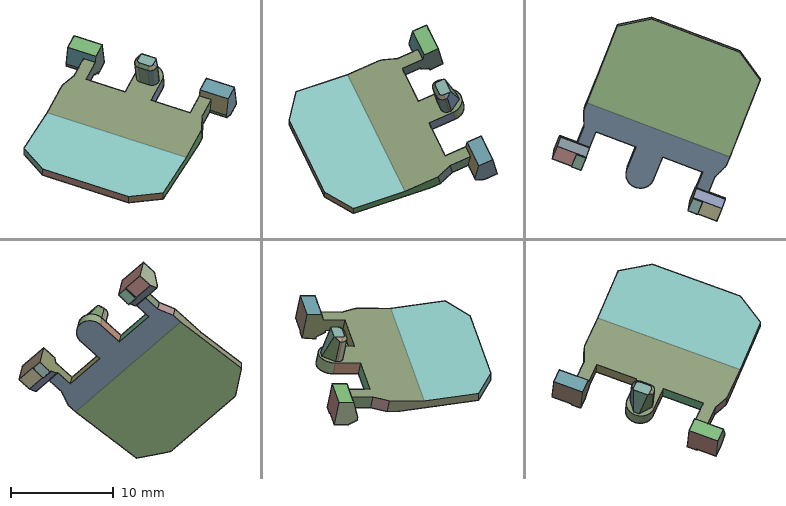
import cadquery as cq
import math

tilt = 10.0
plate_half_width = 7.46
flat_thickness = 0.86
ramp_thickness = 1.32
bend_y = 7.3
front_half_width = 4.61
front_corner_length = 1.87
ramp_length = 5.07
rear_corner_start = 3.55

overall_half_width = 8.6
block_width = 3.03
block_inner_x = overall_half_width - block_width
arm_width = 1.27
arm_outer_x = block_inner_x + arm_width
block_back = 9.03
block_front = 6.8
block_top_front = 7.52
block_bottom_front = 7.6
block_top = 0.65
block_bottom = -2.08
block_nose_top = -1.15
block_nose_bottom = -1.53

pad_width = 1.01
pad_back_bottom = -2.24
pad_front_bottom = -2.34

tongue_radius = 1.4
tongue_end = 9.03

pin_height = 2.73
pin_half_width = 1.15
pin_front = 6.67
pin_corner_radius = 0.65
pin_taper_start = 7.55
pin_back = 8.75
pin_back_half_width = 0.3
pin_top_back = 8.1
pin_chamfer = 0.33

bend_rise = math.sin(math.radians(tilt))
bend_run = math.cos(math.radians(tilt))
bend_tangent = math.tan(math.radians(tilt))
overlap = 0.17

ramp_plane = cq.Plane(
    origin=(0, bend_y, flat_thickness),
    xDir=(1, 0, 0),
    normal=(0, -bend_rise, bend_run),
)


def ramp_profile(points, x_start, width):
    """Extrude a (slope distance, height) outline along +X, in the ramp frame."""
    return cq.Workplane("YZ").workplane(offset=x_start).polyline(points).close().extrude(width)


def make_plate():
    bottom_bend_y = bend_y + (ramp_thickness / bend_run - flat_thickness) / bend_tangent
    top_end = (bend_y + ramp_length * bend_run, flat_thickness + ramp_length * bend_rise)
    bottom_end = (top_end[0] + ramp_thickness * bend_rise, top_end[1] - ramp_thickness * bend_run)
    side = [(0, 0), (bottom_bend_y, 0), bottom_end, top_end, (bend_y, flat_thickness), (0, flat_thickness)]
    plate = cq.Workplane("YZ").polyline(side).close().extrude(plate_half_width, both=True)

    for sign in (-1, 1):
        front_corner = (
            cq.Workplane("XY")
            .moveTo(sign * plate_half_width, 0)
            .lineTo(sign * front_half_width, 0)
            .lineTo(sign * plate_half_width, front_corner_length)
            .close()
            .extrude(flat_thickness)
        )
        rear_corner = (
            cq.Workplane(ramp_plane)
            .moveTo(sign * plate_half_width, rear_corner_start)
            .lineTo(sign * arm_outer_x, ramp_length)
            .lineTo(sign * plate_half_width, ramp_length)
            .close()
            .extrude(-ramp_thickness)
        )
        plate = plate.cut(front_corner).cut(rear_corner)
    return plate


def make_hinge_end():
    """Arm, block and pad of the +X side, in the ramp frame."""
    block_outline = [
        (block_back, block_top),
        (block_top_front, block_top),
        (block_front, block_nose_top),
        (block_front, block_nose_bottom),
        (block_bottom_front, block_bottom),
        (block_back, block_bottom),
    ]
    pad_outline = [
        (block_back, block_bottom),
        (block_back, pad_back_bottom),
        (block_bottom_front, pad_front_bottom),
        (block_bottom_front, block_bottom),
    ]
    arm_start = ramp_length - overlap
    arm_outline = [
        (arm_start, 0),
        (block_bottom_front, 0),
        (block_bottom_front, -ramp_thickness),
        (arm_start, -ramp_thickness),
    ]
    block = ramp_profile(block_outline, block_inner_x, block_width)
    pad = ramp_profile(pad_outline, block_inner_x, pad_width)
    arm = ramp_profile(arm_outline, block_inner_x, arm_width)
    return block.union(arm).union(pad)


def make_tongue():
    start = ramp_length - overlap
    round_center = tongue_end - tongue_radius
    return (
        cq.Workplane("XY")
        .moveTo(-tongue_radius, start)
        .lineTo(tongue_radius, start)
        .lineTo(tongue_radius, round_center)
        .threePointArc((0, tongue_end), (-tongue_radius, round_center))
        .close()
        .extrude(-ramp_thickness)
    )


def make_pin():
    """Pin with rounded front corners, a tapering rear and a sloped back face."""
    outline = [
        (-pin_half_width, pin_front),
        (pin_half_width, pin_front),
        (pin_half_width, pin_taper_start),
        (pin_back_half_width, pin_back),
        (-pin_back_half_width, pin_back),
        (-pin_half_width, pin_taper_start),
    ]
    pin = cq.Workplane("XY").workplane(offset=-overlap).polyline(outline).close().extrude(pin_height + overlap)
    pin = pin.edges("|Z").edges("<Y").fillet(pin_corner_radius)
    rim = cq.selectors.BoxSelector(
        (-pin_half_width - overlap, pin_front - overlap, pin_height - overlap),
        (pin_half_width + overlap, pin_taper_start, pin_height + overlap),
    )
    pin = pin.faces(">Z").edges(rim).chamfer(pin_chamfer)
    back_wedge = [(pin_back, 0), (pin_top_back, pin_height), (pin_back, pin_height)]
    return pin.cut(ramp_profile(back_wedge, -pin_half_width, 2 * pin_half_width))


hinge_end = make_hinge_end()
rear = make_tongue().union(make_pin()).union(hinge_end).union(hinge_end.mirror("YZ"))
rear_placed = cq.Workplane(obj=rear.val().moved(cq.Location(ramp_plane)))

result = make_plate().union(rear_placed)